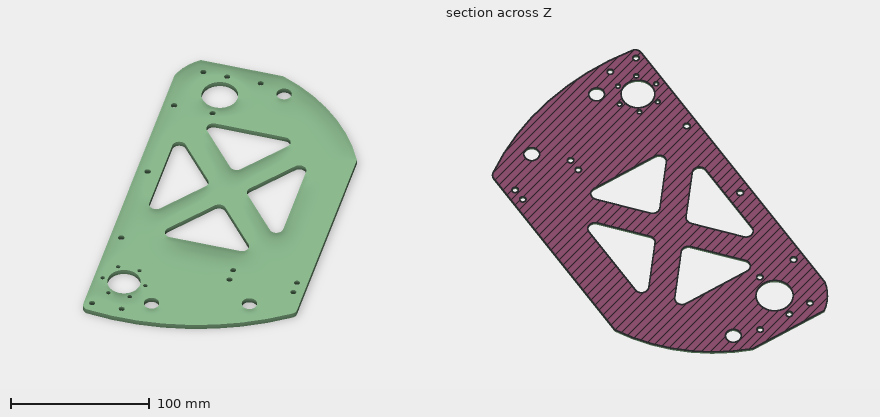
import cadquery as cq
import math

plate_width = 150.0
plate_length = 269.7
thickness = 4.0
corner_radius = 5.0

bearing_center = (37.0, 239.0)
bearing_diameter = 26.5
motor_center = (22.0, 36.1)
motor_diameter = 24.0

bearing_corner_radius = 38.3
top_edge_end_x = 75.8
right_edge_top_y = 201.5
shoulder_radius = 138.0
bottom_radius = 205.0
bottom_lowest_x = 29.7

motor_screw_count = 6
motor_screw_circle_radius = 16.0
motor_screw_turn = 1.0
motor_screw_diameter = 3.2

window_center = (68.0, 149.5)
window_width = 100.0
window_length = 120.8
strut_width = 20.0
window_fillet = 5.0

edge_hole_diameter = 4.5
edge_hole_x = 8.0
edge_hole_pitch = 70.5
edge_hole_count = 3
screw_diameter = 4.3
top_screw_y = 258.5
top_screw_xs = (19.2, bearing_center[0], 62.0)
bearing_screw_y = 2 * bearing_center[1] - top_screw_y
bottom_screw_y = 9.0
bottom_screw_xs = (6.0, 28.0)
bracket_screw_xs = (94.7, 142.5)
bracket_screw_ys = (58.8, 68.8)
standoff_diameter = 11.0
standoff_centers = [(81.2, 252.5), (115.2, 38.8), (47.2, 20.2)]


def arc_midpoint(start, end, radius):
    """Middle of the minor arc that bulges to the left of the line start-end."""
    dx = end[0] - start[0]
    dy = end[1] - start[1]
    chord = math.hypot(dx, dy)
    rise = radius - math.sqrt(radius**2 - (chord / 2) ** 2)
    mid_x = (start[0] + end[0]) / 2
    mid_y = (start[1] + end[1]) / 2
    return (mid_x - dy / chord * rise, mid_y + dx / chord * rise)


def bottom_arc_point(x):
    return (x, bottom_radius - math.sqrt(bottom_radius**2 - (x - bottom_lowest_x) ** 2))


def make_plate():
    x, y = bearing_center
    left_reach = math.sqrt(bearing_corner_radius**2 - x**2)
    top_reach = math.sqrt(bearing_corner_radius**2 - (plate_length - y) ** 2)
    left_top = (0, y + left_reach)
    top_left = (x - top_reach, plate_length)
    top_right = (top_edge_end_x, plate_length)
    right_top = (plate_width, right_edge_top_y)
    right_bottom = bottom_arc_point(plate_width)
    left_bottom = bottom_arc_point(0)
    plate = (
        cq.Workplane("XY")
        .moveTo(*left_bottom)
        .lineTo(*left_top)
        .threePointArc(arc_midpoint(left_top, top_left, bearing_corner_radius), top_left)
        .lineTo(*top_right)
        .threePointArc(arc_midpoint(top_right, right_top, shoulder_radius), right_top)
        .lineTo(*right_bottom)
        .threePointArc((bottom_lowest_x, 0), left_bottom)
        .close()
        .extrude(thickness)
    )
    for corner in (left_bottom, right_bottom):
        nearest = cq.selectors.NearestToPointSelector((*corner, thickness / 2))
        plate = plate.edges(nearest).fillet(corner_radius)
    return plate


def make_window():
    diagonal = math.hypot(window_width, window_length)
    strut_angle = math.degrees(math.atan2(window_length, window_width))
    window = cq.Workplane("XY").rect(window_width, window_length).extrude(thickness)
    for angle in (strut_angle, -strut_angle):
        strut = (
            cq.Workplane("XY")
            .rect(2 * diagonal, strut_width)
            .extrude(thickness)
            .rotate((0, 0, 0), (0, 0, 1), angle)
        )
        window = window.cut(strut)
    return window.edges("|Z").fillet(window_fillet).translate((*window_center, 0))


def make_holes(centers, diameter):
    return cq.Workplane("XY").pushPoints(centers).circle(diameter / 2).extrude(thickness)


motor_screws = []
for i in range(motor_screw_count):
    angle = math.radians(motor_screw_turn + i * 360 / motor_screw_count)
    screw_x = motor_center[0] + motor_screw_circle_radius * math.cos(angle)
    screw_y = motor_center[1] + motor_screw_circle_radius * math.sin(angle)
    motor_screws.append((screw_x, screw_y))

edge_holes = []
for i in range(edge_hole_count):
    offset = (i - (edge_hole_count - 1) / 2) * edge_hole_pitch
    edge_holes.append((edge_hole_x, window_center[1] + offset))

screws = [(x, top_screw_y) for x in top_screw_xs]
screws += [(bearing_center[0], bearing_screw_y)]
screws += [(x, bottom_screw_y) for x in bottom_screw_xs]
screws += [(x, y) for x in bracket_screw_xs for y in bracket_screw_ys]

result = make_plate().cut(make_window())
for centers, diameter in (
    ([bearing_center], bearing_diameter),
    ([motor_center], motor_diameter),
    (motor_screws, motor_screw_diameter),
    (edge_holes, edge_hole_diameter),
    (screws, screw_diameter),
    (standoff_centers, standoff_diameter),
):
    result = result.cut(make_holes(centers, diameter))